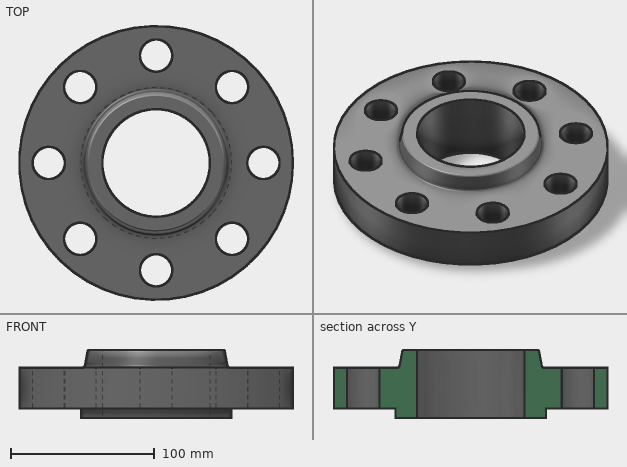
import cadquery as cq

flange_diameter = 190.5
flange_thickness = 28.5

raised_face_diameter = 105.0
raised_face_height = 6.5

hub_base_diameter = 99.8
hub_top_diameter = 95.2
hub_height = 12.4
hub_root_fillet = 1.9
hub_rim_fillet = 1.5

bore_diameter = 74.7
bolt_circle_diameter = 149.3
bolt_hole_diameter = 22.3
bolt_hole_count = 8

flange_top = raised_face_height + flange_thickness
hub_top = flange_top + hub_height


def cylinder(diameter, bottom, height):
    """Solid cylinder on the flange axis."""
    return cq.Workplane("XY").workplane(offset=bottom).circle(diameter / 2).extrude(height)


def hub_cone():
    """Cone frustum standing on the disc."""
    return (
        cq.Workplane("XY")
        .workplane(offset=flange_top)
        .circle(hub_base_diameter / 2)
        .workplane(offset=hub_height)
        .circle(hub_top_diameter / 2)
        .loft()
    )


def bolt_holes():
    """Through holes evenly spaced on the bolt circle, the first on the +X axis."""
    return (
        cq.Workplane("XY")
        .polarArray(bolt_circle_diameter / 2, 0, 360, bolt_hole_count)
        .circle(bolt_hole_diameter / 2)
        .extrude(flange_top)
    )


raised_face = cylinder(raised_face_diameter, 0, raised_face_height)
disc = cylinder(flange_diameter, raised_face_height, flange_thickness)
body = raised_face.union(disc).union(hub_cone())

body = body.faces(">Z").edges().fillet(hub_rim_fillet)
body = body.faces("%CONE").edges("<Z").fillet(hub_root_fillet)

bore = cylinder(bore_diameter, 0, hub_top)
result = body.cut(bore).cut(bolt_holes())